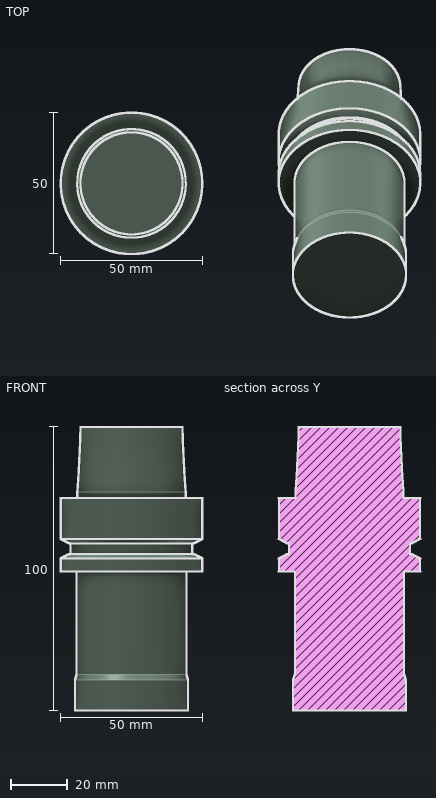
import cadquery as cq

total_height = 100.0
nose_height = 10.8
nose_taper_top = 12.7
flange_bottom = 49.0
flange_top = 75.0
groove_width = 3.8
groove_bevel_height = 1.5
lower_rim_height = 4.7
collar_height = 2.0

nose_diameter = 40.0
body_diameter = 38.8
flange_diameter = 50.0
ledge_diameter = 44.2
groove_diameter = 43.0
collar_diameter = 38.3
shank_top_diameter = 36.0

lower_rim_top = flange_bottom + lower_rim_height
groove_bottom = lower_rim_top + groove_bevel_height
groove_top = groove_bottom + groove_width
upper_rim_bottom = groove_top + groove_bevel_height
collar_top = flange_top + collar_height

section = [
    (nose_diameter, 0),
    (nose_diameter, nose_height),
    (body_diameter, nose_taper_top),
    (body_diameter, flange_bottom),
    (flange_diameter, flange_bottom),
    (flange_diameter, lower_rim_top),
    (ledge_diameter, groove_bottom),
    (groove_diameter, groove_bottom),
    (groove_diameter, groove_top),
    (ledge_diameter, groove_top),
    (flange_diameter, upper_rim_bottom),
    (flange_diameter, flange_top),
    (collar_diameter, flange_top),
    (collar_diameter, collar_top),
    (shank_top_diameter, total_height),
]

profile = cq.Workplane("YZ").moveTo(0, 0)
for diameter, height in section:
    profile = profile.lineTo(diameter / 2, height)
result = profile.lineTo(0, total_height).close().revolve(360, (0, 0, 0), (0, 1, 0))